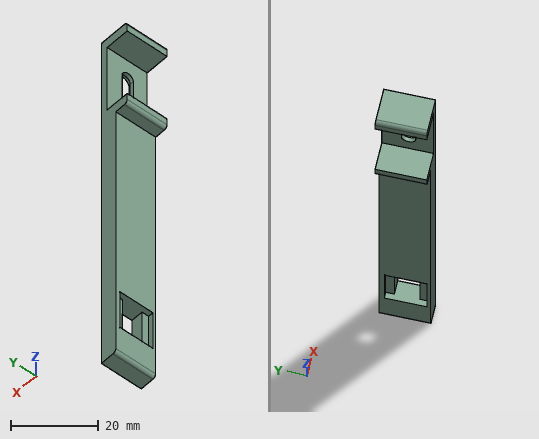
import cadquery as cq

height = 107.0
width = 12.2
lip_reach = 9.0

body_thickness = 5.0
web_thickness = 2.0
lip_thickness = 3.0
channel_height = 20.9
edge_radius = 1.0

hole_offset = -0.2

slot_width = 3.3
slot_length = 13.2
slot_relief_margin = 0.5
slot_relief_depth = 1.0
slot_center_drop = 13.8

window_height = 11.9
window_bottom = 9.0
window_width = 10.1
opening_width = 6.0
recess_depth = 1.5

upper_lip_bottom = height - lip_thickness
lower_lip_top = upper_lip_bottom - channel_height
lower_lip_bottom = lower_lip_top - lip_thickness


def make_bar():
    """Bar with two lips, extruded across the width, with rounded outer edges."""
    profile = [
        (0, 0),
        (-body_thickness, 0),
        (-body_thickness, lower_lip_bottom),
        (-lip_reach, lower_lip_bottom),
        (-lip_reach, lower_lip_top),
        (-web_thickness, lower_lip_top),
        (-web_thickness, upper_lip_bottom),
        (-lip_reach, upper_lip_bottom),
        (-lip_reach, height),
        (0, height),
    ]
    bar = cq.Workplane("XZ").polyline(profile).close().extrude(width / 2, both=True)
    rounded_corners = [
        (-body_thickness, 0),
        (-lip_reach, lower_lip_bottom),
        (-lip_reach, height),
    ]
    for x, z in rounded_corners:
        corner = cq.selectors.NearestToPointSelector((x, 0, z))
        bar = bar.edges("|Y").edges(corner).fillet(edge_radius)
    return bar


def slot_cutter(margin, depth):
    """Vertical round-ended cutter from the back, larger than the slot by margin all round."""
    return (
        cq.Workplane("YZ")
        .center(hole_offset, height - slot_center_drop)
        .slot2D(slot_length + 2 * margin, slot_width + 2 * margin, 90)
        .extrude(-depth)
    )


def make_slot():
    """Slot through the web, with a slightly larger relief on the back."""
    through_slot = slot_cutter(0, web_thickness)
    relief = slot_cutter(slot_relief_margin, slot_relief_depth)
    return through_slot.union(relief)


def make_window():
    """Through opening with a wider, shallow recess in the front of the body."""
    center_z = window_bottom + window_height / 2
    opening = (
        cq.Workplane("YZ")
        .center(hole_offset, center_z)
        .rect(opening_width, window_height)
        .extrude(-body_thickness)
    )
    recess = (
        cq.Workplane("YZ", origin=(-body_thickness, 0, 0))
        .center(hole_offset, center_z)
        .rect(window_width, window_height)
        .extrude(recess_depth)
    )
    return opening.union(recess)


result = make_bar().cut(make_slot()).cut(make_window())